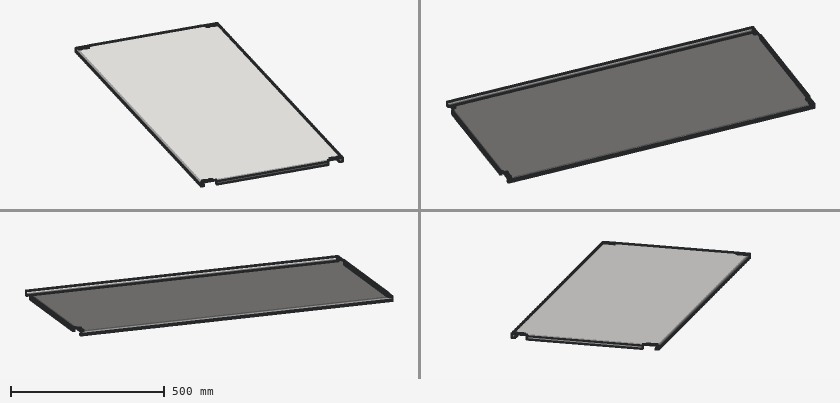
import cadquery as cq
import math

LENGTH = 1099.0
WIDTH = 500.0
HEIGHT = 15.0
SHEET = 2.0

TAB_REACH = 5.5
PANEL_LENGTH = LENGTH - 2 * TAB_REACH
FLANGE_BEND = 4.0
LIP_WIDTH = 12.0

TAB_WIDTH = 394.0
TAB_BEND = 6.0
TAB_CORNER = 5.0

HOLE_INSET = 7.0
HOLE_X = PANEL_LENGTH / 2 - HOLE_INSET
HOLE_Y = 224.3
ROUND_HOLE = 7.0
SQUARE_HOLE = 9.5
SQUARE_OFFSET = 12.5


def on_arc(center, radius, angle):
    """Point on an arc, with the angle turned from straight up towards the outer side."""
    return (center[0] + radius * math.sin(angle), center[1] + radius * math.cos(angle))


def panel_half():
    """The half of the panel at +Y: flat sheet, side wall and bottom lip."""
    wall = WIDTH / 2
    inner_bend = FLANGE_BEND - SHEET
    bend_start = wall - FLANGE_BEND
    upper = (bend_start, HEIGHT - FLANGE_BEND)
    lower = (bend_start, FLANGE_BEND)
    up_slope = math.radians(45)
    down_slope = math.radians(135)
    profile = (
        cq.Workplane("YZ")
        .moveTo(0, HEIGHT)
        .lineTo(bend_start, HEIGHT)
        .threePointArc(on_arc(upper, FLANGE_BEND, up_slope), (wall, upper[1]))
        .lineTo(wall, lower[1])
        .threePointArc(on_arc(lower, FLANGE_BEND, down_slope), (bend_start, 0))
        .lineTo(wall - LIP_WIDTH, 0)
        .lineTo(wall - LIP_WIDTH, SHEET)
        .lineTo(bend_start, SHEET)
        .threePointArc(on_arc(lower, inner_bend, down_slope), (wall - SHEET, lower[1]))
        .lineTo(wall - SHEET, upper[1])
        .threePointArc(on_arc(upper, inner_bend, up_slope), (bend_start, HEIGHT - SHEET))
        .lineTo(0, HEIGHT - SHEET)
        .close()
    )
    return profile.extrude(PANEL_LENGTH / 2, both=True)


def end_tab():
    """The tab at +X: it bends down from the panel edge and meets its upright wall at a crease."""
    wall = LENGTH / 2
    edge = PANEL_LENGTH / 2
    center = (edge, HEIGHT - TAB_BEND)
    inner_bend = TAB_BEND - SHEET
    outer_angle = math.asin(TAB_REACH / TAB_BEND)
    inner_angle = math.asin((TAB_REACH - SHEET) / inner_bend)
    root = edge - SHEET
    profile = (
        cq.Workplane("XZ")
        .moveTo(root, HEIGHT)
        .lineTo(edge, HEIGHT)
        .threePointArc(on_arc(center, TAB_BEND, outer_angle / 2), on_arc(center, TAB_BEND, outer_angle))
        .lineTo(wall, 0)
        .lineTo(wall - SHEET, 0)
        .lineTo(*on_arc(center, inner_bend, inner_angle))
        .threePointArc(on_arc(center, inner_bend, inner_angle / 2), (edge, HEIGHT - SHEET))
        .lineTo(root, HEIGHT - SHEET)
        .close()
    )
    tab = profile.extrude(TAB_WIDTH / 2, both=True)
    return tab.edges("|X and <Z").fillet(TAB_CORNER)


def corner_openings():
    """Cutters for the openings at all four corners, through the flat sheet only."""
    corners = [(sx * HOLE_X, sy * HOLE_Y) for sx in (-1, 1) for sy in (-1, 1)]
    squares = [(x, y + side * SQUARE_OFFSET) for x, y in corners for side in (-1, 1)]
    sheet_bottom = cq.Workplane("XY").workplane(offset=HEIGHT - SHEET)
    round_cutters = sheet_bottom.pushPoints(corners).circle(ROUND_HOLE / 2).extrude(SHEET)
    square_cutters = sheet_bottom.pushPoints(squares).rect(SQUARE_HOLE, SQUARE_HOLE).extrude(SHEET)
    return round_cutters.add(square_cutters)


half = panel_half()
panel = half.union(half.mirror("XZ"))
tab = end_tab()
panel = panel.union(tab).union(tab.mirror("YZ")).clean()
for cutter in corner_openings().vals():
    panel = panel.cut(cq.Workplane(cutter))
result = panel